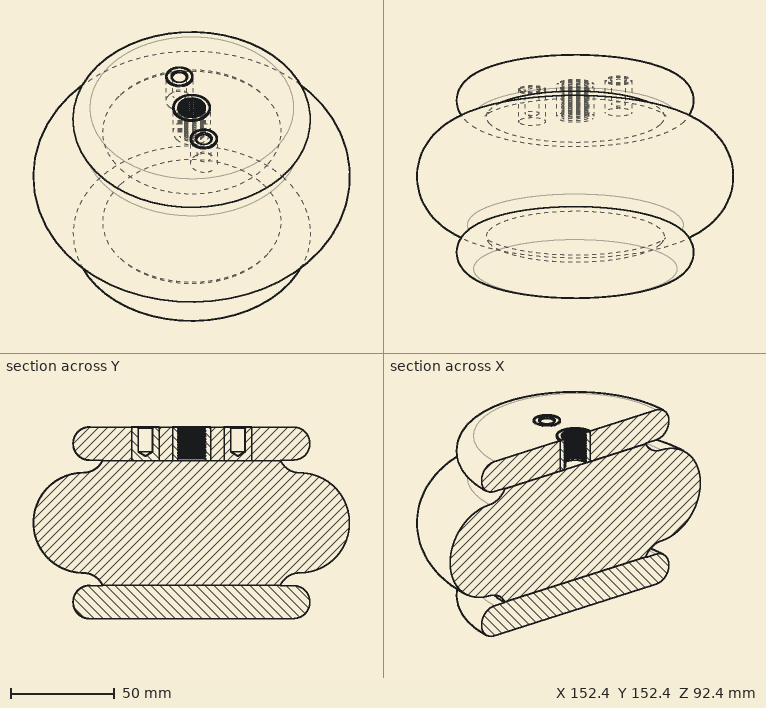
import cadquery as cq
import math

TOTAL_HEIGHT = 92.37
BELLOWS_DIAMETER = 152.42

PLATE_DIAMETER = 114.2
PLATE_THICKNESS = 16.1
RIM_RADIUS = PLATE_THICKNESS / 2
PLATE_FLAT_RADIUS = PLATE_DIAMETER / 2 - RIM_RADIUS
PLATE_INNER_Z = TOTAL_HEIGHT / 2 - PLATE_THICKNESS

BULGE_RADIUS = 24.2
BULGE_CENTRE_RADIUS = BELLOWS_DIAMETER / 2 - BULGE_RADIUS
NECK_FILLET_RADIUS = 10

INSERT_CHAMFER = 0.5

MOUNT_SPACING = 44.5
MOUNT_DIAMETER = 13
MOUNT_HOLE_DIAMETER = 6.8
MOUNT_THREAD_DIAMETER = 8
MOUNT_HOLE_DEPTH = 12
DRILL_POINT_ANGLE = math.radians(118)

PORT_DIAMETER = 18
PORT_THREAD_MAJOR_DIAMETER = 13.157
PORT_THREAD_MINOR_DIAMETER = 11.445
PORT_THREAD_PITCH = 1.337
PORT_THREAD_FLAT = PORT_THREAD_PITCH / 6
PORT_RING_COUNT = int(PLATE_THICKNESS / PORT_THREAD_PITCH) - 1


def make_bellows():
    """Solid of revolution, symmetric about the XY plane."""
    fillet_centre_z = BULGE_RADIUS + NECK_FILLET_RADIUS
    end_angle = math.acos((fillet_centre_z - PLATE_INNER_Z) / NECK_FILLET_RADIUS)

    def fillet_point(angle):
        r = BULGE_CENTRE_RADIUS - NECK_FILLET_RADIUS * math.sin(angle)
        z = fillet_centre_z - NECK_FILLET_RADIUS * math.cos(angle)
        return r, z

    def mirrored(point):
        return point[0], -point[1]

    neck_end = fillet_point(end_angle)
    fillet_middle = fillet_point(end_angle / 2)
    bulge_top = (BULGE_CENTRE_RADIUS, BULGE_RADIUS)
    return (
        cq.Workplane("XZ")
        .moveTo(0, PLATE_INNER_Z)
        .lineTo(*neck_end)
        .threePointArc(fillet_middle, bulge_top)
        .threePointArc((BELLOWS_DIAMETER / 2, 0), mirrored(bulge_top))
        .threePointArc(mirrored(fillet_middle), mirrored(neck_end))
        .lineTo(0, -PLATE_INNER_Z)
        .close()
        .revolve(360, (0, 0), (0, 1))
    )


def make_plate(bottom_z):
    """Disc standing on bottom_z."""
    return (
        cq.Workplane("XZ")
        .moveTo(0, bottom_z)
        .lineTo(PLATE_FLAT_RADIUS, bottom_z)
        .threePointArc(
            (PLATE_DIAMETER / 2, bottom_z + RIM_RADIUS),
            (PLATE_FLAT_RADIUS, bottom_z + PLATE_THICKNESS),
        )
        .lineTo(0, bottom_z + PLATE_THICKNESS)
        .close()
        .revolve(360, (0, 0), (0, 1))
    )


def make_insert_blank(x, diameter):
    """Cylinder that fills the plate thickness at x; also the cutter for its seat."""
    return (
        cq.Workplane("XY", origin=(x, 0, PLATE_INNER_Z))
        .circle(diameter / 2)
        .extrude(PLATE_THICKNESS)
    )


def make_mount_insert(x):
    """Insert with a blind, countersunk hole that ends in a drill point."""
    top_z = TOTAL_HEIGHT / 2
    hole_radius = MOUNT_HOLE_DIAMETER / 2
    mouth_radius = MOUNT_THREAD_DIAMETER / 2
    countersink_depth = mouth_radius - hole_radius
    point_length = hole_radius / math.tan(DRILL_POINT_ANGLE / 2)
    hole = (
        cq.Workplane("XZ", origin=(x, 0, top_z))
        .lineTo(mouth_radius, 0)
        .lineTo(hole_radius, -countersink_depth)
        .lineTo(hole_radius, -MOUNT_HOLE_DEPTH)
        .lineTo(0, -MOUNT_HOLE_DEPTH - point_length)
        .close()
        .revolve(360, (0, 0), (0, 1))
    )
    body = make_insert_blank(x, MOUNT_DIAMETER).faces(">Z").chamfer(INSERT_CHAMFER)
    return body.cut(hole)


def make_port_insert():
    """Insert with a through bore lined with flat-crested thread rings below a countersunk mouth."""
    top_z = TOTAL_HEIGHT / 2
    major_radius = PORT_THREAD_MAJOR_DIAMETER / 2
    minor_radius = PORT_THREAD_MINOR_DIAMETER / 2
    mouth_radius = (major_radius + minor_radius) / 2
    countersink_depth = major_radius - mouth_radius
    flank_height = PORT_THREAD_PITCH / 2 - PORT_THREAD_FLAT
    thread_top_z = top_z - countersink_depth - flank_height / 2
    bore = (
        cq.Workplane("XZ")
        .moveTo(0, top_z)
        .lineTo(major_radius, top_z)
        .lineTo(mouth_radius, thread_top_z + flank_height / 2)
        .lineTo(major_radius, thread_top_z)
    )
    for ring in range(PORT_RING_COUNT):
        ring_z = thread_top_z - ring * PORT_THREAD_PITCH
        bore = bore.lineTo(minor_radius, ring_z - flank_height)
        bore = bore.lineTo(minor_radius, ring_z - flank_height - PORT_THREAD_FLAT)
        bore = bore.lineTo(major_radius, ring_z - 2 * flank_height - PORT_THREAD_FLAT)
        bore = bore.lineTo(major_radius, ring_z - PORT_THREAD_PITCH)
    bore = (
        bore.lineTo(major_radius, PLATE_INNER_Z)
        .lineTo(0, PLATE_INNER_Z)
        .close()
        .revolve(360, (0, 0), (0, 1))
    )
    body = make_insert_blank(0, PORT_DIAMETER).faces(">Z").chamfer(INSERT_CHAMFER)
    return body.cut(bore)


bellows = make_bellows()
bottom_plate = make_plate(-TOTAL_HEIGHT / 2)
mount_positions = [side * MOUNT_SPACING / 2 for side in (-1, 1)]

top_plate = make_plate(PLATE_INNER_Z).cut(make_insert_blank(0, PORT_DIAMETER))
for mount_x in mount_positions:
    top_plate = top_plate.cut(make_insert_blank(mount_x, MOUNT_DIAMETER))

mount_inserts = [make_mount_insert(mount_x) for mount_x in mount_positions]
port_insert = make_port_insert()

result = cq.Compound.makeCompound(
    [
        bellows.val(),
        bottom_plate.val(),
        top_plate.val(),
        port_insert.val(),
        *[insert.val() for insert in mount_inserts],
    ]
)